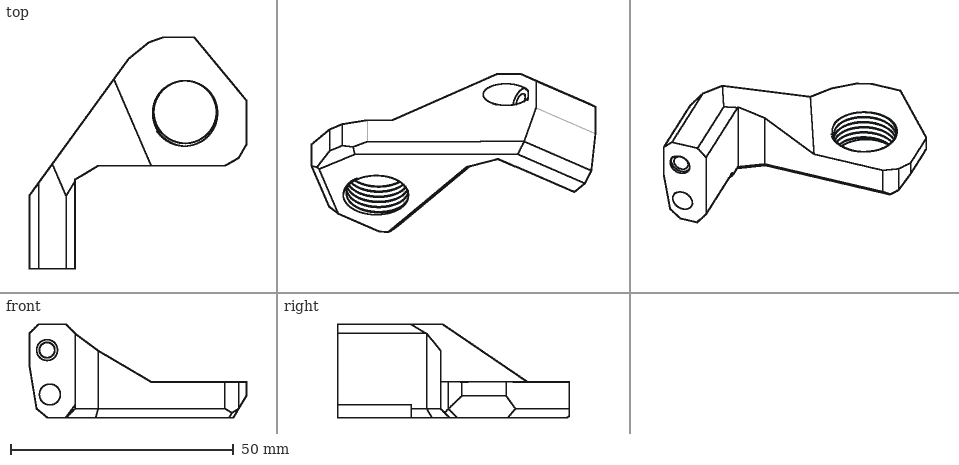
import cadquery as cq
import math

WIDTH = 48.74
LENGTH = 52.0
HEIGHT = 21.06

ARM_WIDTH = 10.25
ARM_LENGTH = 16.5
ARM_CHAMFER = 2.05
ARM_TAPER_X = 1.57
ARM_TAPER_TOP = 11.5
ARM_FOOT_X = 4.07
ARM_CORNER_X = 2.15
ARM_CORNER_Z = 2.9

PLATE_THICKNESS = 8.1
PLATE_FRONT_Y = 23.1
WALL_SLOPE = 1.378
WALL_END_X = 22.25
BEVEL = 2.05
SIDE_CUT_X = 2.97
SIDE_CUT_Z = 4.97

RAMP_TOP = (5.13, 23.5)
RAMP_HEADING = 23.3
RAMP_RUN = 20.24

BOLT_X = 3.95
BOLT_Z = 15.23
BOLT_DIAMETER = 3.4
BOLT_RECESS_DIAMETER = 4.7
BOLT_RECESS_DEPTH = 0.7
BOLT_HEAD_DIAMETER = 6.05
BOLT_HEAD_SEAT_Y = 17.9
PIN_X = 4.58
PIN_Z = 5.25
PIN_DIAMETER = 4.7
PIN_DEPTH = 8.0

THREAD_X = 34.95
THREAD_Y = 35.2
THREAD_MINOR = 14.01
THREAD_MAJOR = 15.35
THREAD_PITCH = 1.44
THREAD_GROOVE = 1.32
THREAD_OVERLAP = 0.05

ARM_FRONT_LEFT = (0, 0)
ARM_FRONT_RIGHT = (ARM_WIDTH, 0)
INNER_CORNER = (ARM_WIDTH, 20.0)
INNER_BEND = (15.42, PLATE_FRONT_Y)
FRONT_RIGHT = (43.9, PLATE_FRONT_Y)
FRONT_CORNER = (47.0, 24.87)
SIDE_FRONT = (WIDTH, 27.9)
SIDE_BACK = (WIDTH, 37.8)
BACK_RIGHT = (37.0, LENGTH)
BACK_LEFT = (30.0, LENGTH)
BACK_CORNER = (26.8, 50.86)
WALL_END = (WALL_END_X, ARM_LENGTH + WALL_SLOPE * WALL_END_X)
WALL_START = (0, ARM_LENGTH)
OUTLINE = [
    ARM_FRONT_LEFT,
    ARM_FRONT_RIGHT,
    INNER_CORNER,
    INNER_BEND,
    FRONT_RIGHT,
    FRONT_CORNER,
    SIDE_FRONT,
    SIDE_BACK,
    BACK_RIGHT,
    BACK_LEFT,
    BACK_CORNER,
    WALL_END,
    WALL_START,
]

CLEARANCE = 60.0


def along_y(points, start, end):
    """Prism of an XZ outline between two Y positions."""
    return cq.Workplane("XZ", origin=(0, start, 0)).polyline(points).close().extrude(start - end)


def cylinder_y(x, z, diameter, start, end):
    """Cylinder along Y between two Y positions."""
    return cq.Workplane("XZ", origin=(x, start, z)).circle(diameter / 2).extrude(start - end)


def edge_wedge(start, end):
    """Cutter for a bevel under the wall from start to end; the solid lies on the left."""
    direction = cq.Vector(end[0] - start[0], end[1] - start[1], 0)
    outward = direction.cross(cq.Vector(0, 0, 1))
    frame = cq.Plane(origin=(start[0], start[1], 0), xDir=outward, normal=-direction)
    section = [(-2 * BEVEL, -BEVEL), (BEVEL, -BEVEL), (BEVEL, 2 * BEVEL)]
    reach = direction.Length + CLEARANCE
    return cq.Workplane(frame).polyline(section).close().extrude(reach, both=True)


def midpoint(start, end):
    """Middle of an outline segment at the underside."""
    return ((start[0] + end[0]) / 2, (start[1] + end[1]) / 2, 0)


def make_blank():
    """Plan outline at full height, bevelled under the walls around the concave front side."""
    blank = cq.Workplane("XY").polyline(OUTLINE).close().extrude(HEIGHT)
    inner_walls = [
        (ARM_FRONT_RIGHT, INNER_CORNER),
        (INNER_CORNER, INNER_BEND),
        (INNER_BEND, FRONT_RIGHT),
    ]
    lower_edges = blank.newObject([])
    for start, end in inner_walls:
        lower_edges = lower_edges.add(blank.edges(cq.NearestToPointSelector(midpoint(start, end))))
    return lower_edges.chamfer(BEVEL)


def bevel_outer_walls(body):
    """45 degree bevels under four outer walls and a steeper one under the +X wall."""
    outer_walls = [
        (FRONT_CORNER, SIDE_FRONT),
        (SIDE_BACK, BACK_RIGHT),
        (BACK_LEFT, BACK_CORNER),
        (WALL_END, WALL_START),
    ]
    for start, end in outer_walls:
        body = body.cut(edge_wedge(start, end))
    side_cut = [(WIDTH - SIDE_CUT_X, 0), (WIDTH, 0), (WIDTH, SIDE_CUT_Z)]
    return body.cut(along_y(side_cut, 0, LENGTH))


def cut_ramp(body):
    """Remove everything above the ramp and above the plate top."""
    heading = math.radians(RAMP_HEADING)
    downhill = cq.Vector(math.cos(heading), math.sin(heading), 0)
    across = downhill.cross(cq.Vector(0, 0, 1))
    frame = cq.Plane(origin=(*RAMP_TOP, 0), xDir=downhill, normal=across)
    section = [
        (0, HEIGHT),
        (RAMP_RUN, PLATE_THICKNESS),
        (CLEARANCE, PLATE_THICKNESS),
        (CLEARANCE, HEIGHT),
    ]
    return body.cut(cq.Workplane(frame).polyline(section).close().extrude(CLEARANCE, both=True))


def shape_arm(body):
    """Top chamfers, tapered left wall, lower left chamfer and lower right corner relief."""
    shoulder_z = HEIGHT - ARM_CHAMFER
    top_left = [(0, shoulder_z), (ARM_CHAMFER, HEIGHT), (0, HEIGHT)]
    top_right = [(ARM_WIDTH, shoulder_z), (ARM_WIDTH - ARM_CHAMFER, HEIGHT), (ARM_WIDTH, HEIGHT)]
    lower_left = [(0, 0), (ARM_FOOT_X, 0), (ARM_TAPER_X, BEVEL), (0, ARM_TAPER_TOP)]
    for section in (top_left, top_right, lower_left):
        body = body.cut(along_y(section, 0, LENGTH))
    relief = [(ARM_WIDTH, 0), (ARM_WIDTH, ARM_CORNER_Z), (ARM_WIDTH - ARM_CORNER_X, 0)]
    return body.cut(along_y(relief, 0, ARM_LENGTH))


def drill_arm(body):
    """Stepped bolt hole through the arm and a blind pin hole below it."""
    body = body.cut(cylinder_y(BOLT_X, BOLT_Z, BOLT_DIAMETER, 0, LENGTH))
    body = body.cut(cylinder_y(BOLT_X, BOLT_Z, BOLT_RECESS_DIAMETER, 0, BOLT_RECESS_DEPTH))
    body = body.cut(cylinder_y(BOLT_X, BOLT_Z, BOLT_HEAD_DIAMETER, BOLT_HEAD_SEAT_Y, LENGTH))
    return body.cut(cylinder_y(PIN_X, PIN_Z, PIN_DIAMETER, 0, PIN_DEPTH))


def cut_thread(body):
    """Bore at the minor diameter with a helical V groove out to the major diameter."""
    minor_radius = THREAD_MINOR / 2
    major_radius = THREAD_MAJOR / 2
    bore = cq.Workplane("XY").center(THREAD_X, THREAD_Y).circle(minor_radius).extrude(HEIGHT)
    body = body.cut(bore)
    turns = math.ceil(PLATE_THICKNESS / THREAD_PITCH) + 2
    inner_radius = minor_radius - THREAD_OVERLAP
    flank = THREAD_GROOVE / (THREAD_MAJOR - THREAD_MINOR)
    inner_half = flank * (major_radius - inner_radius)
    section = [
        (inner_radius, -inner_half),
        (major_radius, 0),
        (inner_radius, inner_half),
    ]
    path = cq.Wire.makeHelix(THREAD_PITCH, THREAD_PITCH, minor_radius)
    groove_turn = cq.Workplane("XZ").polyline(section).close().sweep(path, isFrenet=True)
    groove_turn = groove_turn.rotate((0, 0, 0), (0, 0, 1), -90)
    for turn in range(turns):
        turn_z = PLATE_THICKNESS - turn * THREAD_PITCH
        body = body.cut(groove_turn.translate((THREAD_X, THREAD_Y, turn_z)))
    return body


result = make_blank()
result = bevel_outer_walls(result)
result = cut_ramp(result)
result = shape_arm(result)
result = drill_arm(result)
result = cut_thread(result)